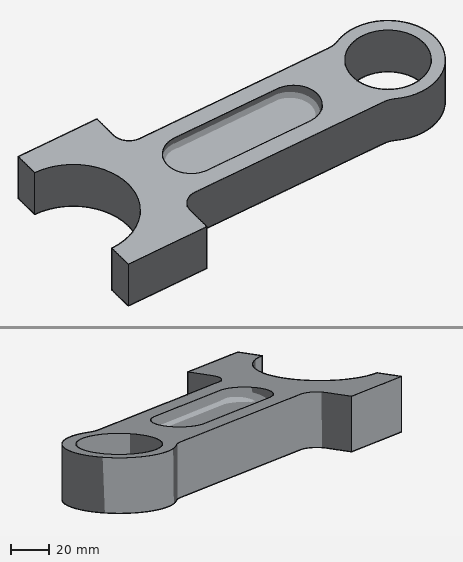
import cadquery as cq

length = 230.0
thickness = 30.0

block_width = 100.0
block_length = block_width / 2
saddle_radius = 35.0

shank_width = block_width / 2
eye_radius = thickness
eye_bore_diameter = 45.0
eye_y = length - eye_radius
shank_block_fillet = 10.0
shank_eye_fillet = 15.0

pocket_width = 30.0
pocket_length = 95.0
pocket_start_y = 60.0
pocket_depth = 7.4
pocket_floor_fillet = 4.4


def make_body():
    """Block, shank and eye joined, with the inside corners blended."""
    block = cq.Workplane().rect(block_width, block_length).extrude(thickness)
    block = block.translate((0, block_length / 2, 0))
    shank = cq.Workplane().rect(shank_width, eye_y).extrude(thickness)
    shank = shank.translate((0, eye_y / 2, 0))
    eye = cq.Workplane().center(0, eye_y).circle(eye_radius).extrude(thickness)
    body = block.union(shank).union(eye)

    half_shank = shank_width / 2
    neck_y = eye_y - (eye_radius**2 - half_shank**2) ** 0.5
    for corner_y, radius in ((block_length, shank_block_fillet), (neck_y, shank_eye_fillet)):
        for side in (-1, 1):
            corner = (side * half_shank, corner_y, thickness / 2)
            body = body.edges(cq.selectors.NearestToPointSelector(corner)).fillet(radius)
    return body


def make_bore(y, radius):
    """Cutter for a hole through the full thickness."""
    return cq.Workplane().center(0, y).circle(radius).extrude(thickness)


def make_pocket():
    """Cutter for the pocket, rounded along its lower edge."""
    pocket = (
        cq.Workplane(origin=(0, pocket_start_y + pocket_length / 2, thickness - pocket_depth))
        .slot2D(pocket_length, pocket_width, 90)
        .extrude(pocket_depth)
    )
    return pocket.faces("<Z").edges().fillet(pocket_floor_fillet)


result = (
    make_body()
    .cut(make_bore(0, saddle_radius))
    .cut(make_bore(eye_y, eye_bore_diameter / 2))
    .cut(make_pocket())
    .translate((0, -length / 2, -thickness / 2))
)